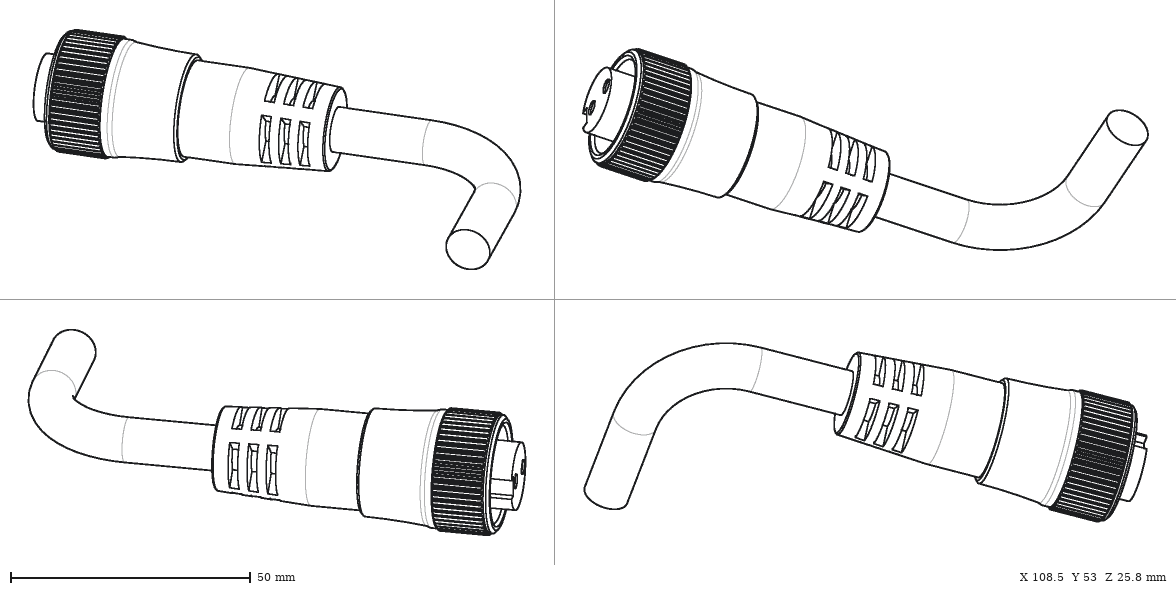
import cadquery as cq
import math


NUT_FRONT = 3.7
NUT_BACK = 32.2
NUT_RADIUS = 12.5
NUT_FRONT_CHAMFER_LENGTH = 0.7
NUT_FRONT_RADIUS = 11.7
NUT_STRAIGHT_END = 17.5
NUT_NECK_X = 18.4
NUT_NECK_RADIUS = 12.1
NUT_BACK_RADIUS = 11.4
NUT_WAIST_SAG = 0.16
NUT_BACK_CHAMFER = 0.5
MOUTH_RADIUS = 11.0
BORE_RADIUS = 10.3
MOUTH_CHAMFER_LENGTH = 0.7
BORE_FLOOR = 8.7

KNURL_FRONT = 4.9
KNURL_BACK = 15.9
KNURL_RADIUS = 12.9
KNURL_GROOVES = 55
KNURL_HEIGHT = KNURL_RADIUS - NUT_RADIUS
KNURL_EMBED = 0.2
KNURL_GROOVE_ROOT_WIDTH = 0.3
KNURL_GROOVE_TIP_WIDTH = 1.2

INSERT_RADIUS = 7.2
KEY_WIDTH = 4.3
KEY_FLOOR_Y = 5.0
SOCKET_DIAMETER = 3.0
SOCKET_DEPTH = 0.4
SOCKET_POSITIONS_Y = (2.5, -4.6)

NECK_RADIUS = 9.1
GRIP_RADIUS = 10.2
TAPER_START = 43.4
GRIP_END = 63.7
GRIP_END_RADIUS = 8.9
GRIP_END_CHAMFER = 0.3

SLOT_START = 49.8
SLOT_WIDTH = 2.1
SLOT_PITCH = 4.1
SLOT_ROWS = 3
SLOT_FLOOR_RADIUS = 5.2
RIB_WIDTH = 3.1
RIB_ANGLES = (45, 135)

CABLE_DIAMETER = 9.5
CABLE_RADIUS = CABLE_DIAMETER / 2
OVERALL_LENGTH = 108.5
BEND_RADIUS = 20.0
CABLE_TAIL = 20.1
CABLE_TAIL_X = OVERALL_LENGTH - CABLE_RADIUS
BEND_START = CABLE_TAIL_X - BEND_RADIUS


def cylinder(start, end, radius):
    """Cylinder about the X axis between two X positions."""
    return cq.Workplane("YZ").workplane(offset=start).circle(radius).extrude(end - start)


def revolve_about_x(profile):
    """Turn a closed profile, drawn as X against radius, about the X axis."""
    return profile.close().revolve(360, (0, 0, 0), (1, 0, 0))


def make_nut_blank():
    """Turned nut with a chamfered mouth, a bore and a smaller hole for the neck of the grip."""
    waist_x = (NUT_NECK_X + NUT_BACK - NUT_BACK_CHAMFER) / 2
    waist_radius = (NUT_NECK_RADIUS + NUT_BACK_RADIUS) / 2 - NUT_WAIST_SAG
    profile = (
        cq.Workplane("XZ")
        .moveTo(NUT_FRONT, MOUTH_RADIUS)
        .lineTo(NUT_FRONT, NUT_FRONT_RADIUS)
        .lineTo(NUT_FRONT + NUT_FRONT_CHAMFER_LENGTH, NUT_RADIUS)
        .lineTo(NUT_STRAIGHT_END, NUT_RADIUS)
        .lineTo(NUT_NECK_X, NUT_NECK_RADIUS)
        .threePointArc((waist_x, waist_radius), (NUT_BACK - NUT_BACK_CHAMFER, NUT_BACK_RADIUS))
        .lineTo(NUT_BACK, NUT_BACK_RADIUS - NUT_BACK_CHAMFER)
        .lineTo(NUT_BACK, NECK_RADIUS)
        .lineTo(BORE_FLOOR, NECK_RADIUS)
        .lineTo(BORE_FLOOR, BORE_RADIUS)
        .lineTo(NUT_FRONT + MOUTH_CHAMFER_LENGTH, BORE_RADIUS)
    )
    return revolve_about_x(profile)


def make_knurl():
    """Ring of straight teeth with sloped ends, standing on the nut."""
    embedded_radius = NUT_RADIUS - KNURL_EMBED
    ring = revolve_about_x(
        cq.Workplane("XZ")
        .moveTo(KNURL_FRONT, embedded_radius)
        .lineTo(KNURL_FRONT, NUT_RADIUS)
        .lineTo(KNURL_FRONT + KNURL_HEIGHT, KNURL_RADIUS)
        .lineTo(KNURL_BACK - KNURL_HEIGHT, KNURL_RADIUS)
        .lineTo(KNURL_BACK, NUT_RADIUS)
        .lineTo(KNURL_BACK, embedded_radius)
    )
    pitch_angle = 360 / KNURL_GROOVES
    groove = (
        cq.Workplane("YZ")
        .workplane(offset=KNURL_FRONT)
        .moveTo(NUT_RADIUS, -KNURL_GROOVE_ROOT_WIDTH / 2)
        .lineTo(KNURL_RADIUS, -KNURL_GROOVE_TIP_WIDTH / 2)
        .lineTo(KNURL_RADIUS + KNURL_HEIGHT, -KNURL_GROOVE_TIP_WIDTH / 2)
        .lineTo(KNURL_RADIUS + KNURL_HEIGHT, KNURL_GROOVE_TIP_WIDTH / 2)
        .lineTo(KNURL_RADIUS, KNURL_GROOVE_TIP_WIDTH / 2)
        .lineTo(NUT_RADIUS, KNURL_GROOVE_ROOT_WIDTH / 2)
        .close()
        .extrude(KNURL_BACK - KNURL_FRONT)
    )
    groove_cutters = [
        groove.rotate((0, 0, 0), (1, 0, 0), number * pitch_angle).val()
        for number in range(KNURL_GROOVES)
    ]
    return ring.cut(cq.Workplane(cq.Compound.makeCompound(groove_cutters)))


def make_coupling_nut():
    return make_nut_blank().union(make_knurl())


def make_insert():
    """Contact insert with its key slot and shallow contact sockets."""
    insert = cylinder(0, BORE_FLOOR, INSERT_RADIUS)
    key_slot = (
        cq.Workplane("XY")
        .box(BORE_FLOOR, INSERT_RADIUS, KEY_WIDTH, centered=(False, False, True))
        .translate((0, KEY_FLOOR_Y, 0))
    )
    insert = insert.cut(key_slot)
    for socket_y in SOCKET_POSITIONS_Y:
        socket = cylinder(0, SOCKET_DEPTH, SOCKET_DIAMETER / 2).translate((0, socket_y, 0))
        insert = insert.cut(socket)
    return insert


def make_grip():
    """Neck inside the nut, straight grip and tapered strain relief."""
    profile = (
        cq.Workplane("XZ")
        .moveTo(BORE_FLOOR, 0)
        .lineTo(BORE_FLOOR, NECK_RADIUS)
        .lineTo(NUT_BACK, NECK_RADIUS)
        .lineTo(NUT_BACK, GRIP_RADIUS)
        .lineTo(TAPER_START, GRIP_RADIUS)
        .lineTo(GRIP_END - GRIP_END_CHAMFER, GRIP_END_RADIUS)
        .lineTo(GRIP_END, GRIP_END_RADIUS - GRIP_END_CHAMFER)
        .lineTo(GRIP_END, 0)
    )
    return revolve_about_x(profile)


def make_slot_row(start):
    """Cutter for one ring of four slots, separated by two crossed diagonal ribs."""
    end = start + SLOT_WIDTH
    cutter = cylinder(start, end, GRIP_RADIUS).cut(cylinder(start, end, SLOT_FLOOR_RADIUS))
    for angle in RIB_ANGLES:
        rib = (
            cq.Workplane("XY")
            .box(SLOT_WIDTH, 2 * GRIP_RADIUS, RIB_WIDTH)
            .translate(((start + end) / 2, 0, 0))
            .rotate((0, 0, 0), (1, 0, 0), angle)
        )
        cutter = cutter.cut(rib)
    return cutter


def make_cable():
    """Cable that leaves the grip along X, bends and ends along -Y."""
    half_bend = math.radians(45)
    bend_middle = (
        BEND_START + BEND_RADIUS * math.sin(half_bend),
        -BEND_RADIUS * (1 - math.cos(half_bend)),
    )
    path = (
        cq.Workplane("XY")
        .moveTo(GRIP_END, 0)
        .lineTo(BEND_START, 0)
        .threePointArc(bend_middle, (CABLE_TAIL_X, -BEND_RADIUS))
        .lineTo(CABLE_TAIL_X, -BEND_RADIUS - CABLE_TAIL)
    )
    return cq.Workplane("YZ").workplane(offset=GRIP_END).circle(CABLE_RADIUS).sweep(path)


def make_molded_cordset():
    """Insert, grip and cable as one molded body."""
    cordset = make_grip()
    for row in range(SLOT_ROWS):
        cordset = cordset.cut(make_slot_row(SLOT_START + row * SLOT_PITCH))
    return cordset.union(make_insert()).union(make_cable())


coupling_nut = make_coupling_nut()
molded_cordset = make_molded_cordset()

result = cq.Compound.makeCompound([coupling_nut.val(), molded_cordset.val()])